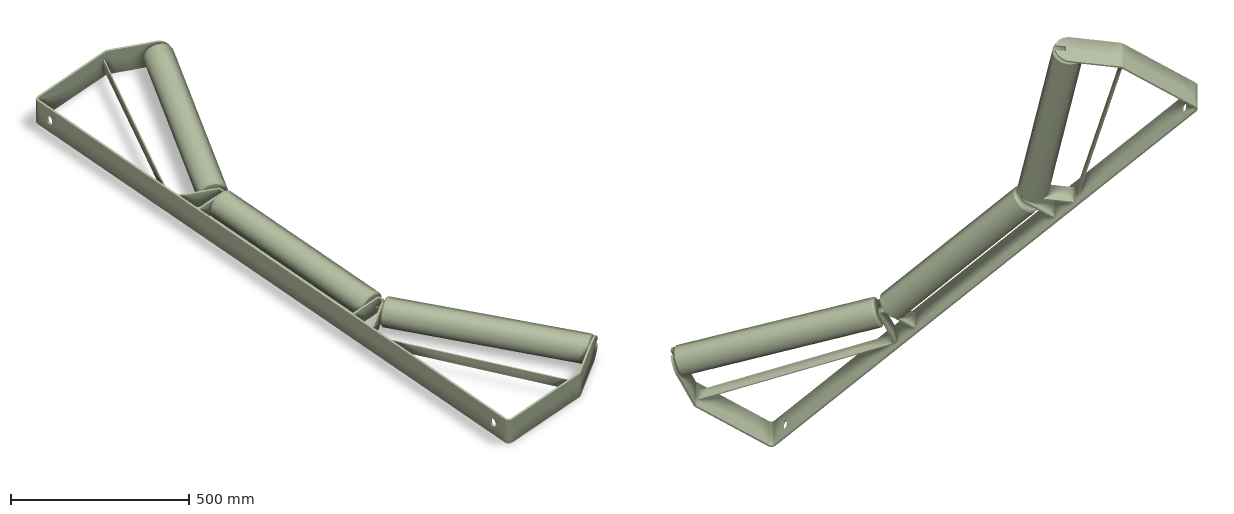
import cadquery as cq
import math

span = 1890.0
frame_width = 89.0
thickness = 6.0
frame_bend_radius = 10.0
tip_drop = 5.0

roller_diameter = 89.0
roller_length = 601.0
roller_edge = 4.7
end_gap = 4.0
shaft_size = 17.0
trough_angle = 30.0
side_roller_x = 601.0
side_roller_y = 259.0
centre_roller_y = 98.0

bracket_height = 123.0
bracket_width = 55.0
bracket_bend_radius = 2.0

brace_width = 34.0
brace_thickness = 4.0
brace_wall_y = 274.0
brace_foot_x = 408.0

mount_inset = 62.0
mount_slot_width = 19.0
mount_slot_height = 30.0

inner_face = roller_length / 2 + end_gap
outer_face = inner_face + thickness

cos_trough = math.cos(math.radians(trough_angle))
sin_trough = math.sin(math.radians(trough_angle))

centre_seat = (0.0, centre_roller_y, 0.0)
left_seat = (-side_roller_x, side_roller_y, -trough_angle)
right_seat = (side_roller_x, side_roller_y, trough_angle)
seats = [left_seat, centre_seat, right_seat]


def place(body, seat):
    """Move a body built on the X axis onto a roller seat."""
    x, y, angle = seat
    return body.rotate((0, 0, 0), (0, 0, 1), angle).translate((x, y, 0))


def mirror_x(body):
    """Copy of a body on the other side of the middle plane X = 0."""
    return body.mirror("YZ")


def left_axis_point(along, across=0.0):
    """Point in XY at given distances along and across the left roller's axis."""
    x = -side_roller_x + along * cos_trough + across * sin_trough
    y = side_roller_y - along * sin_trough + across * cos_trough
    return cq.Vector(x, y)


def left_plane_x(along, y):
    """X where the plane square to the left roller's axis crosses a height y."""
    start = left_axis_point(along)
    return start.x + (y - start.y) * sin_trough / cos_trough


def left_plane_y(along, x):
    """Height y where the plane square to the left roller's axis crosses a given x."""
    start = left_axis_point(along)
    return start.y + (x - start.x) * cos_trough / sin_trough


def bent_strip(path, width, bend_radius):
    """Flat bar bent along an open path, with its thickness to the left of the path."""
    directions = [(b - a).normalized() for a, b in zip(path, path[1:])]
    normals = [cq.Vector(-d.y, d.x) for d in directions]
    offsets = [normals[0]]
    for before, after in zip(normals, normals[1:]):
        offsets.append((before + after) * (1 / (1 + before.dot(after))))
    offsets.append(normals[-1])
    far_side = [point + offset * thickness for point, offset in zip(path, offsets)]

    outline = [point.toTuple()[:2] for point in path + far_side[::-1]]
    bottom = cq.Workplane("XY").workplane(offset=-width / 2)
    strip = bottom.polyline(outline).close().extrude(width)
    for i in range(1, len(path) - 1):
        turns_left = directions[i - 1].cross(directions[i]).z > 0
        outside, inside = (path[i], far_side[i]) if turns_left else (far_side[i], path[i])
        for corner, radius in ((outside, bend_radius + thickness), (inside, bend_radius)):
            strip = strip.edges(cq.NearestToPointSelector(corner.toTuple())).fillet(radius)
    return strip


def shaft_slot(seat, side):
    """Cutter for a square-bottomed slot, open upwards, at one end of a roller."""
    depth = roller_diameter
    middle = side * (inner_face + outer_face) / 2
    slot = cq.Workplane("XY").box(2 * thickness, depth, shaft_size)
    slot = slot.translate((middle, (depth - shaft_size) / 2, 0))
    return place(slot, seat)


def make_frame():
    """Base bar with upright ends, bent inwards to rounded plates that hold the side rollers."""
    bend_y = left_plane_y(-outer_face, -span / 2)
    left = [left_axis_point(-outer_face, -tip_drop), cq.Vector(-span / 2, bend_y), cq.Vector(-span / 2, 0)]
    right = [cq.Vector(-point.x, point.y) for point in left[::-1]]
    frame = bent_strip(left + right, frame_width, frame_bend_radius)

    rounded_tip = cq.Workplane("YZ").circle(frame_width / 2).extrude(thickness)
    rounded_tip = rounded_tip.translate((-outer_face, -tip_drop, 0))
    left_tip = place(rounded_tip, left_seat)
    frame = frame.union(left_tip).union(mirror_x(left_tip))
    frame = frame.cut(shaft_slot(left_seat, -1)).cut(shaft_slot(right_seat, 1))

    mount_x = span / 2 - mount_inset
    mount_slots = (
        cq.Workplane("XZ")
        .pushPoints([(-mount_x, 0), (mount_x, 0)])
        .slot2D(mount_slot_height, mount_slot_width, 90)
        .extrude(-2 * thickness)
    )
    return frame.cut(mount_slots)


def make_left_bracket():
    """Folded bracket on the base: one leg square to the left roller, one upright leg."""
    leg_x = -inner_face
    path = [
        cq.Vector(leg_x, 0),
        cq.Vector(leg_x, bracket_height),
        cq.Vector(left_plane_x(inner_face, bracket_height), bracket_height),
        cq.Vector(left_plane_x(inner_face, 0), 0),
    ]
    bracket = bent_strip(path, bracket_width, bracket_bend_radius)
    base_zone = cq.Workplane("XY").box(span, 2 * thickness, frame_width)
    bracket = bracket.cut(base_zone)
    return bracket.cut(shaft_slot(centre_seat, -1)).cut(shaft_slot(left_seat, 1))


def make_left_brace():
    """Thin diagonal bar between the frame's upright end and its base."""
    wall = cq.Vector(-span / 2 + thickness, brace_wall_y)
    foot = cq.Vector(-brace_foot_x, thickness)
    slope = math.atan2(wall.y - foot.y, foot.x - wall.x)
    rise = brace_thickness / math.cos(slope)
    run = brace_thickness / math.sin(slope)
    outline = [
        (wall.x, wall.y),
        (wall.x, wall.y - rise),
        (foot.x - run, foot.y),
        (foot.x, foot.y),
    ]
    bottom = cq.Workplane("XY").workplane(offset=-brace_width / 2)
    return bottom.polyline(outline).close().extrude(brace_width)


def make_roller():
    """Roller on the X axis with square shaft ends."""
    end_plane = cq.Workplane("YZ").workplane(offset=-roller_length / 2)
    shell = end_plane.circle(roller_diameter / 2).extrude(roller_length)
    shell = shell.faces("<X or >X").chamfer(roller_edge)
    return shell.union(cq.Workplane("XY").box(2 * outer_face, shaft_size, shaft_size))


frame = make_frame()
left_bracket = make_left_bracket()
brackets = [left_bracket, mirror_x(left_bracket)]
left_brace = make_left_brace()
braces = [left_brace, mirror_x(left_brace)]
rollers = [place(make_roller(), seat) for seat in seats]

bodies = [frame, *brackets, *braces, *rollers]
result = cq.Compound.makeCompound([body.solids().val() for body in bodies])